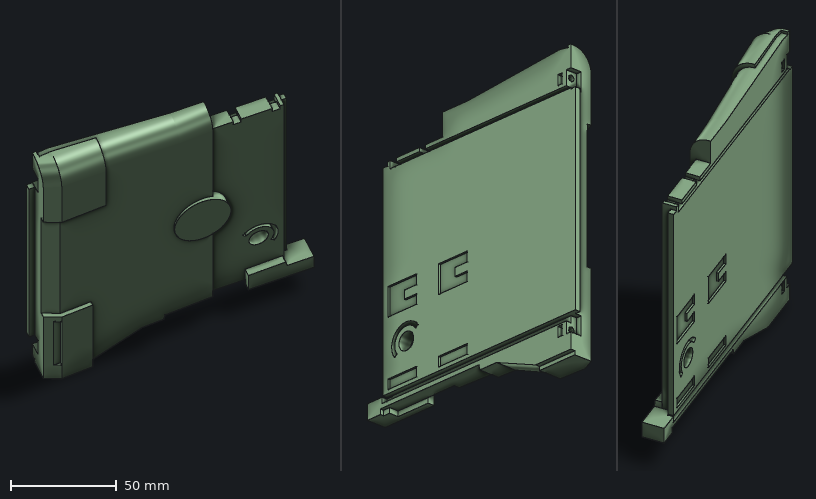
import cadquery as cq
import math


panel_thickness = 3.1
panel_depth = 132.5
panel_top = 138.6
panel_bottom = 21.6
lip_top = 138.1

body_front = 3.1
bevel_end = 11.0
body_step = 91.3
body_back = 129.2
front_width = 10.7
bevel_width = 14.6
step_width = 10.9
thin_width = 7.6
edge_radius = 10.0
edge_break = 73.9
shelf_top = 143.0
gap_floor = 140.7
tall_top = 156.0
crest_top = 161.2
front_slope_drop = 1.1
rail_bottom = 15.5
belly_bottom = 12.5
chin_bottom = 2.1
chin_back = 27.3
belly_front = 54.2
belly_back = 65.5
rail_front = 66.2

pad_front_width = 13.3
pad_width = 17.0
pad_back_width = 15.8
pad_radius = 11.5
pad_back = 34.3
top_pad_bottom = 123.2
top_pad_crest = 162.7
top_pad_back_top = 161.4
bottom_pad_top = 48.6
pad_ledge_width = 3.5
pad_lip_back = 5.2
chin_ledge_width = 2.6
label_floor = 15.3
label_bottom = 10.7
label_top = 44.9

rib_front = 127.2
shelf_gaps = [(103.2, 107.2), (123.2, rib_front)]

groove_front = 6.2
top_groove_back = rib_front
bottom_groove_back = 132.8
bottom_groove_floor = 17.9

foot_front = 109.2
foot_back = 143.0
foot_width = 11.7
foot_top = 21.3
foot_notch_back = 133.9
foot_notch_step = 129.8
foot_notch_shallow = 2.1

tooth_peak_y = 128.4
tooth_peak = 24.4
tooth_front_top = 23.8

corner_width = 6.7
corner_height = 10.4
screw_diameter = 3.3
screw_x = 3.3
top_screw_z = 145.6
bottom_screw_z = 14.2
nut_flats = 5.7
nut_front = 9.1
nut_thickness = 3.0

recess_depth = 1.1
recess_length = 19.5
recess_fronts = [74.4, 109.2]
clip_bottom = 61.7
clip_height = 16.0
tongue_length = 8.3
tongue_bottom = 67.2
tongue_height = 4.7
bar_bottom = 23.8
bar_height = 5.5

hole_diameter = 10.0
hole_y = 116.2
hole_z = 44.9
slot_radius = 9.0
slot_width = 2.1
slot_end_angle = 36.0

boss_diameter = 29.0
boss_y = 85.3
boss_z = 81.4
boss_top = 12.9


def box(x0, x1, y0, y1, z0, z1):
    """Axis-aligned block between the given limits."""
    return cq.Workplane("XY").box(x1 - x0, y1 - y0, z1 - z0, centered=False).translate((x0, y0, z0))


def side_prism(points, x0, x1):
    """Outline given in (Y, Z), filled between two X positions."""
    return cq.Workplane("YZ").workplane(offset=x0).polyline(points).close().extrude(x1 - x0)


def rounded_loft(stations, bottom, radius):
    """Solid through cross-sections (Y, width, top), each with a rounded upper far corner."""
    diagonal = radius * math.sqrt(0.5)
    solid = cq.Workplane()
    for start, end in zip(stations, stations[1:]):
        wires = []
        for y, width, top in (start, end):
            centre_x = width - radius
            centre_z = top - radius
            section = (
                cq.Workplane("XZ", origin=(0, y, 0))
                .moveTo(0, bottom)
                .lineTo(width, bottom)
                .lineTo(width, centre_z)
                .threePointArc((centre_x + diagonal, centre_z + diagonal), (centre_x, top))
                .lineTo(0, top)
                .close()
            )
            wires.append(section.val())
        solid = solid.add(cq.Solid.makeLoft(wires, True))
    return solid.combine()


def make_body():
    taper = (bevel_width - step_width) / (body_step - bevel_end)
    stations = [
        (body_front, front_width, crest_top - front_slope_drop),
        (bevel_end, bevel_width, crest_top),
        (edge_break, step_width + taper * (body_step - edge_break), tall_top),
        (body_step, step_width, tall_top),
    ]
    body = rounded_loft(stations, chin_bottom, edge_radius)
    body = body.union(box(0, thin_width, body_step, body_back, rail_bottom, shelf_top))
    underside = [
        (chin_back, chin_bottom),
        (belly_front, belly_bottom),
        (belly_back, belly_bottom),
        (rail_front, rail_bottom),
        (body_step, rail_bottom),
        (body_step, chin_bottom),
    ]
    body = body.cut(side_prism(underside, 0, pad_width))
    for start, end in shelf_gaps:
        body = body.cut(box(0, thin_width, start, end, gap_floor, shelf_top))
    return body


def make_top_pad():
    stations = [
        (body_front, pad_front_width, top_pad_crest - front_slope_drop),
        (bevel_end, pad_width, top_pad_crest),
        (pad_back, pad_back_width, top_pad_back_top),
    ]
    pad = rounded_loft(stations, top_pad_bottom, pad_radius)
    slope = (crest_top - tall_top) / (edge_break - bevel_end)
    front_slope = front_slope_drop / (bevel_end - body_front)
    ledge = [
        (pad_lip_back, crest_top - front_slope * (bevel_end - pad_lip_back)),
        (bevel_end, crest_top),
        (pad_back, crest_top - slope * (pad_back - bevel_end)),
        (pad_back, top_pad_crest),
        (pad_lip_back, top_pad_crest),
    ]
    return pad.cut(side_prism(ledge, 0, pad_ledge_width))


def make_bottom_pad():
    taper = (pad_width - pad_back_width) / (pad_back - bevel_end)
    plan = [
        (0, body_front),
        (pad_front_width, body_front),
        (pad_width, bevel_end),
        (pad_width - taper * (chin_back - bevel_end), chin_back),
        (0, chin_back),
    ]
    pad = cq.Workplane("XY").polyline(plan).close().extrude(bottom_pad_top)
    pad = pad.cut(box(0, chin_ledge_width, body_front, chin_back, 0, chin_bottom))
    return pad.cut(box(label_floor, pad_width, body_front, bevel_end, label_bottom, label_top))


def make_panel():
    panel = box(0, panel_thickness, body_front, panel_depth, panel_bottom, panel_top)
    ear = box(0, panel_thickness, body_back, panel_depth, panel_top, gap_floor)
    lip = box(0, panel_thickness, 0, body_front, panel_bottom, lip_top)
    return panel.union(ear).union(lip)


def make_foot():
    foot = box(0, foot_width, foot_front, foot_back, belly_bottom, foot_top)
    foot = foot.cut(box(0, thin_width, foot_front, foot_notch_step, belly_bottom, rail_bottom))
    return foot.cut(box(0, foot_notch_shallow, foot_notch_step, foot_notch_back, belly_bottom, rail_bottom))


def make_tooth():
    """Gently rising ramp that ends in a steep rear face."""
    outline = [
        (foot_front, foot_top),
        (body_back, foot_top),
        (tooth_peak_y, tooth_peak),
        (foot_front, tooth_front_top),
    ]
    return side_prism(outline, thin_width, foot_width)


def make_boss():
    return cq.Workplane("YZ").center(boss_y, boss_z).circle(boss_diameter / 2).extrude(boss_top)


def make_grooves():
    top = box(0, panel_thickness, groove_front, top_groove_back, panel_top, gap_floor)
    bottom = box(0, panel_thickness, groove_front, bottom_groove_back, bottom_groove_floor, panel_bottom)
    return top.union(bottom)


def make_corner(pocket_bottom, screw_z):
    """Corner pocket, screw hole along Y and the nut trap that it reaches."""
    pocket = box(0, corner_width, body_front, groove_front, pocket_bottom, pocket_bottom + corner_height)
    screw = (
        cq.Workplane("XZ", origin=(screw_x, groove_front, screw_z))
        .circle(screw_diameter / 2)
        .extrude(-(nut_front - groove_front))
    )
    half = nut_flats / 2
    nut_side = nut_flats / math.sqrt(3)
    trap = (
        cq.Workplane("XZ", origin=(0, nut_front, screw_z))
        .moveTo(0, -half)
        .lineTo(screw_x + nut_side / 2, -half)
        .lineTo(screw_x + nut_side, 0)
        .lineTo(screw_x + nut_side / 2, half)
        .lineTo(0, half)
        .close()
        .extrude(-nut_thickness)
    )
    return pocket.union(screw).union(trap)


def make_recesses(front):
    """C-shaped recess with a flush tongue, and the bar-shaped recess below it."""
    back = front + recess_length
    clip = box(0, recess_depth, front, back, clip_bottom, clip_bottom + clip_height)
    tongue = box(0, recess_depth, front, front + tongue_length, tongue_bottom, tongue_bottom + tongue_height)
    bar = box(0, recess_depth, front, back, bar_bottom, bar_bottom + bar_height)
    return clip.cut(tongue).union(bar)


def make_hole_and_slot():
    plane = cq.Workplane("YZ").center(hole_y, hole_z)
    hole = plane.circle(hole_diameter / 2).extrude(pad_width)

    def polar(radius, degrees):
        angle = math.radians(degrees)
        return (radius * math.cos(angle), radius * math.sin(angle))

    outer = slot_radius + slot_width / 2
    inner = slot_radius - slot_width / 2
    start = -slot_end_angle
    middle = start + 90
    end = start + 180
    slot = (
        plane.moveTo(*polar(outer, start))
        .threePointArc(polar(outer, middle), polar(outer, end))
        .lineTo(*polar(inner, end))
        .threePointArc(polar(inner, middle), polar(inner, start))
        .close()
        .extrude(pad_width)
    )
    return hole.union(slot)


result = make_body().union(make_foot()).union(make_tooth()).union(make_panel())
result = result.union(make_top_pad()).union(make_bottom_pad()).union(make_boss())
result = result.cut(make_grooves())
result = result.cut(make_corner(panel_top, top_screw_z))
result = result.cut(make_corner(panel_bottom - corner_height, bottom_screw_z))
for recess_front in recess_fronts:
    result = result.cut(make_recesses(recess_front))
result = result.cut(make_hole_and_slot())